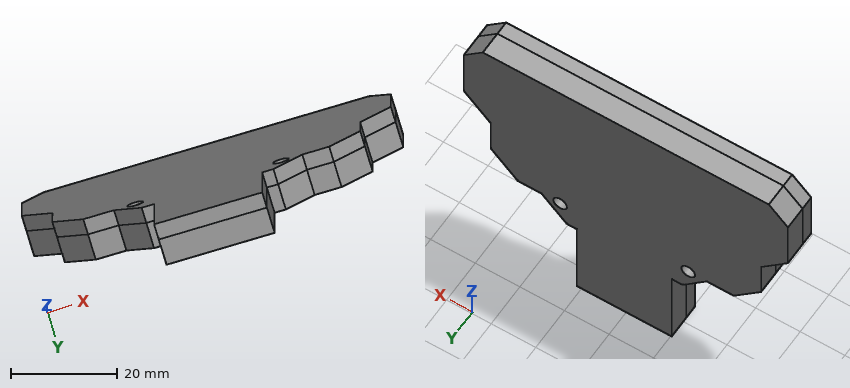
import cadquery as cq

width = 72.7
height = 61.6
thickness = 8.15
front_thickness = 3.05
back_thickness = thickness - front_thickness

top_chamfer = 4.3
side_inset = 6.0
corner_cut = 6.1
upper_step_z = 45.3
body_bottom_z = 24.7

neck_center_x = 0.35
neck_width = 21.3
shoulder_top_width = 37.1
left_shoulder_drop = 5.45
right_shoulder_drop = 5.7

hole_diameter = 3.05
hole_spacing = 28.7
hole_z = body_bottom_z


def side_profile(side, shoulder_drop):
    """Half outline from the neck bottom up to the top edge; side is -1 (left) or +1 (right)."""
    outer_x = side * width / 2
    waist_x = outer_x - side * side_inset
    neck_x = neck_center_x + side * neck_width / 2
    shoulder_x = neck_center_x + side * shoulder_top_width / 2
    shoulder_z = body_bottom_z - shoulder_drop
    return [
        (neck_x, 0),
        (neck_x, shoulder_z),
        (shoulder_x - side * shoulder_drop, shoulder_z),
        (shoulder_x, body_bottom_z),
        (waist_x - side * corner_cut, body_bottom_z),
        (waist_x, body_bottom_z + corner_cut),
        (waist_x, upper_step_z - side_inset),
        (outer_x, upper_step_z),
        (outer_x, height - top_chamfer),
        (outer_x - side * top_chamfer, height),
    ]


def make_plate(front_y, plate_thickness):
    """Plate with the common outline and two through holes, extending in +Y from front_y."""
    right_side = side_profile(1, right_shoulder_drop)
    left_side = side_profile(-1, left_shoulder_drop)
    outline = right_side + left_side[::-1]
    hole_centers = [(neck_center_x + side * hole_spacing / 2, hole_z) for side in (-1, 1)]

    front_plane = cq.Workplane("XZ", origin=(0, front_y, 0))
    plate = front_plane.polyline(outline).close().extrude(-plate_thickness)
    holes = front_plane.pushPoints(hole_centers).circle(hole_diameter / 2).extrude(-plate_thickness)
    return plate.cut(holes)


front_plate = make_plate(-front_thickness, front_thickness)
back_plate = make_plate(0, back_thickness)

result = cq.Compound.makeCompound([front_plate.val(), back_plate.val()])